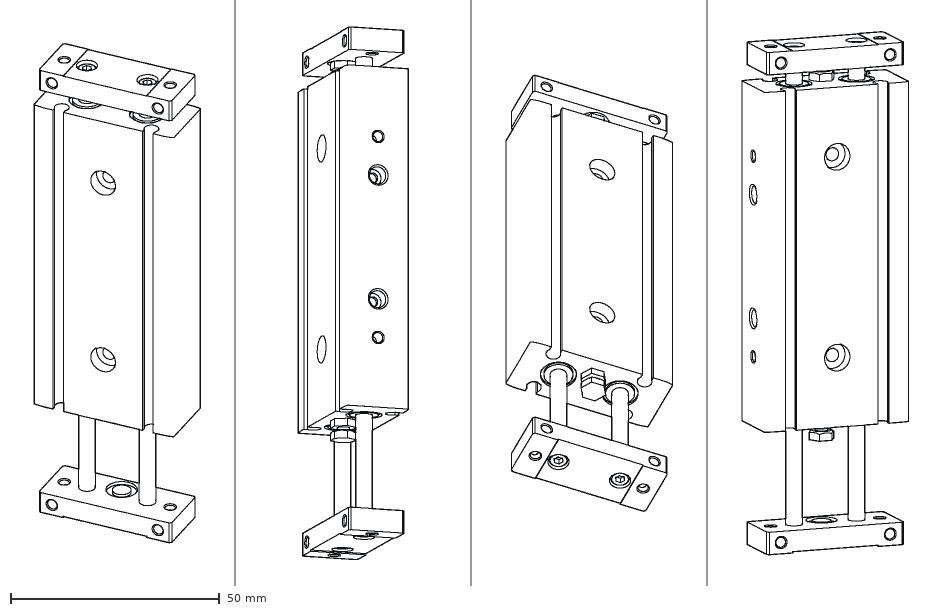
import cadquery as cq
import math

overall_length = 122.6

housing_width = 37.0
housing_depth = 16.0
housing_length = 83.0
housing_bottom = 30.1
housing_top = housing_bottom + housing_length
housing_corner_radius = 0.3

crown_start = 15.3
crown_radius = 14.0

groove_offset = 11.85
groove_mouth = 2.8
groove_diameter = 3.5
groove_center_depth = 2.0

mount_inset = 17.0
mount_hole_diameter = 3.2
mount_counterbore_diameter = 6.5
mount_counterbore_depth = 3.3

tap_diameter = 2.46
tap_mouth_diameter = 3.0
side_tap_depth = 5.0

port_inset = 26.4
port_diameter = 4.13
port_mouth_diameter = 5.0
port_depth = 4.0
port_passage_diameter = 2.46
port_passage_depth = 5.0
drill_point_angle = 118.0

rod_diameter = 4.0
rod_spacing = 16.0
rod_end_inset = 0.8

rod_head_diameter = 4.5
rod_head_height = 2.2
rod_head_chamfer = 0.25
socket_across_flats = 2.0
socket_depth = 1.5

ring_groove_diameter = 8.6
gland_diameter = 7.0
ring_groove_depth = 0.6

plate_width = 35.0
plate_depth = 14.0
plate_thickness = 5.5
plate_edge_chamfer = 0.5
relief_width = 22.0
upper_relief_depth = 0.1
lower_relief_depth = 0.3
plate_hole_spacing = 28.0
plate_cross_hole_height = 2.8
rod_counterbore_diameter = 5.0

adjuster_y = 2.5
hex_across_flats = 5.5
hex_chamfer_diameter = 4.57
chamfer_angle = 30.0
stud_diameter = 3.0
stud_depth = 8.0
plain_hex_height = 1.8
chamfered_hex_height = 2.2
upper_hex_gap = 0.3
lower_hex_gap = 0.8
recess_diameter = 7.5
recess_depth = 0.8
bumper_diameter = 4.5
bumper_height = 0.7

rod_counterbore_depth = rod_end_inset + rod_head_height
rod_positions = [(-rod_spacing / 2, 0), (rod_spacing / 2, 0)]
plate_hole_positions = [(-plate_hole_spacing / 2, 0), (plate_hole_spacing / 2, 0)]
mount_heights = [housing_bottom + mount_inset, housing_top - mount_inset]
port_heights = [housing_bottom + port_inset, housing_top - port_inset]


def cylinder(diameter, start, direction, length):
    return cq.Workplane(cq.Solid.makeCylinder(diameter / 2, length, cq.Vector(*start), cq.Vector(*direction)))


def countersink(mouth_diameter, bore_diameter, start, direction):
    """45 degree cone that opens a bore out to its mouth diameter at the start point."""
    depth = (mouth_diameter - bore_diameter) / 2
    cone = cq.Solid.makeCone(
        mouth_diameter / 2, bore_diameter / 2, depth, cq.Vector(*start), cq.Vector(*direction)
    )
    return cq.Workplane(cone)


def tapped_hole(start, direction, length):
    bore = cylinder(tap_diameter, start, direction, length)
    return bore.union(countersink(tap_mouth_diameter, tap_diameter, start, direction))


def housing_blank():
    """Extruded profile whose front and back faces curve back towards the corners."""
    half_width = housing_width / 2
    half_depth = housing_depth / 2

    def crown_drop(distance):
        return crown_radius - math.sqrt(crown_radius**2 - distance**2)

    crown_width = half_width - crown_start
    corner_y = half_depth - crown_drop(crown_width)
    middle_x = crown_start + crown_width / 2
    middle_y = half_depth - crown_drop(crown_width / 2)
    blank = (
        cq.Workplane("XY", origin=(0, 0, housing_bottom))
        .moveTo(-crown_start, -half_depth)
        .lineTo(crown_start, -half_depth)
        .threePointArc((middle_x, -middle_y), (half_width, -corner_y))
        .lineTo(half_width, corner_y)
        .threePointArc((middle_x, middle_y), (crown_start, half_depth))
        .lineTo(-crown_start, half_depth)
        .threePointArc((-middle_x, middle_y), (-half_width, corner_y))
        .lineTo(-half_width, -corner_y)
        .threePointArc((-middle_x, -middle_y), (-crown_start, -half_depth))
        .close()
        .extrude(housing_length)
    )
    corners = cq.selectors.BoxSelector(
        (-half_width - 1, -half_depth, housing_bottom), (1 - half_width, half_depth, housing_top)
    ) + cq.selectors.BoxSelector(
        (half_width - 1, -half_depth, housing_bottom), (half_width + 1, half_depth, housing_top)
    )
    return blank.edges("|Z").edges(corners).fillet(housing_corner_radius)


def sensor_groove(x, side):
    """Round groove with a narrower straight mouth, on the face at side * Y."""
    face_y = side * housing_depth / 2
    center_y = face_y - side * groove_center_depth
    channel = cylinder(groove_diameter, (x, center_y, housing_bottom), (0, 0, 1), housing_length)
    mouth = (
        cq.Workplane("XY", origin=(x, (face_y + center_y) / 2, housing_bottom))
        .rect(groove_mouth, groove_center_depth)
        .extrude(housing_length)
    )
    return channel.union(mouth)


def mounting_hole(z):
    front = -housing_depth / 2
    hole = cylinder(mount_hole_diameter, (0, front, z), (0, 1, 0), housing_depth)
    for side in (-1, 1):
        start = (0, side * housing_depth / 2, z)
        hole = hole.union(
            cylinder(mount_counterbore_diameter, start, (0, -side, 0), mount_counterbore_depth)
        )
    return hole


def air_port(z):
    start = (-housing_width / 2, 0, z)
    inward = (1, 0, 0)
    port = cylinder(port_diameter, start, inward, port_depth)
    port = port.union(countersink(port_mouth_diameter, port_diameter, start, inward))
    port = port.union(cylinder(port_passage_diameter, start, inward, port_passage_depth))
    tip_start = cq.Vector(start[0] + port_passage_depth, 0, z)
    tip_height = port_passage_diameter / 2 / math.tan(math.radians(drill_point_angle / 2))
    tip = cq.Solid.makeCone(port_passage_diameter / 2, 0, tip_height, tip_start, cq.Vector(*inward))
    return port.union(cq.Workplane(tip))


def make_housing():
    housing = housing_blank()
    for x in (-groove_offset, groove_offset):
        for side in (-1, 1):
            housing = housing.cut(sensor_groove(x, side))
    for z in mount_heights:
        housing = housing.cut(mounting_hole(z))
        housing = housing.cut(tapped_hole((-housing_width / 2, 0, z), (1, 0, 0), side_tap_depth))
    for z in port_heights:
        housing = housing.cut(air_port(z))
    for x, y in rod_positions:
        housing = housing.cut(cylinder(rod_diameter, (x, y, housing_bottom), (0, 0, 1), housing_length))
        for z, inward in ((housing_bottom, 1), (housing_top, -1)):
            ring = cylinder(ring_groove_diameter, (x, y, z), (0, 0, inward), ring_groove_depth)
            gland = cylinder(gland_diameter, (x, y, z), (0, 0, inward), ring_groove_depth)
            housing = housing.cut(ring.cut(gland))
    lower_stud = cylinder(stud_diameter, (0, adjuster_y, housing_bottom), (0, 0, 1), stud_depth)
    upper_stud = cylinder(stud_diameter, (0, adjuster_y, housing_top), (0, 0, -1), stud_depth)
    return housing.cut(lower_stud).cut(upper_stud)


def make_plate(relief_depth):
    """Upper end plate, its outer face at the overall length and its recess facing the housing."""
    inner_z = overall_length - plate_thickness
    plate = (
        cq.Workplane("XY", origin=(0, 0, inner_z))
        .rect(plate_width, plate_depth)
        .extrude(plate_thickness)
        .edges("|Z")
        .chamfer(plate_edge_chamfer)
    )
    relief = (
        cq.Workplane("XY", origin=(0, 0, overall_length - relief_depth))
        .rect(relief_width, plate_depth)
        .extrude(relief_depth)
    )
    plate = plate.cut(relief)
    plate = plate.cut(cylinder(recess_diameter, (0, adjuster_y, inner_z), (0, 0, 1), recess_depth))

    for x, y in rod_positions:
        plate = plate.cut(cylinder(rod_diameter, (x, y, inner_z), (0, 0, 1), plate_thickness))
        plate = plate.cut(
            cylinder(rod_counterbore_diameter, (x, y, overall_length), (0, 0, -1), rod_counterbore_depth)
        )

    cross_z = overall_length - plate_cross_hole_height
    for x, y in plate_hole_positions:
        for z, direction in ((inner_z, 1), (overall_length, -1)):
            plate = plate.cut(tapped_hole((x, y, z), (0, 0, direction), plate_thickness))
        for side in (-1, 1):
            plate = plate.cut(tapped_hole((x, side * plate_depth / 2, cross_z), (0, -side, 0), plate_depth))
    return plate


def flip_end_for_end(body):
    """Mirror a body of the upper end to the lower end."""
    return body.mirror("XY", (0, 0, overall_length / 2))


def make_rod(x, y):
    bottom = rod_end_inset
    top = overall_length - rod_end_inset
    rod = cylinder(rod_diameter, (x, y, bottom), (0, 0, 1), top - bottom)
    socket_diameter = socket_across_flats / math.cos(math.radians(30))
    for end_z, inward in ((bottom, 1), (top, -1)):
        head = cylinder(rod_head_diameter, (x, y, end_z), (0, 0, inward), rod_head_height)
        outer_face = "<Z" if inward > 0 else ">Z"
        rod = rod.union(head.faces(outer_face).edges().chamfer(rod_head_chamfer))
        socket = cq.Workplane("XY", origin=(x, y, end_z)).polygon(6, socket_diameter)
        rod = rod.cut(socket.extrude(inward * socket_depth))
    return rod


def plain_hex(bottom_z):
    across_corners = hex_across_flats / math.cos(math.radians(30))
    return (
        cq.Workplane("XY", origin=(0, adjuster_y, bottom_z))
        .polygon(6, across_corners)
        .extrude(plain_hex_height)
    )


def chamfered_hex(bottom_z):
    """Hexagon whose upper corners are turned down to a cone."""
    across_corners = hex_across_flats / math.cos(math.radians(30))
    chamfer_height = (across_corners - hex_chamfer_diameter) / 2 * math.tan(math.radians(chamfer_angle))
    prism = (
        cq.Workplane("XY", origin=(0, adjuster_y, bottom_z))
        .polygon(6, across_corners)
        .extrude(chamfered_hex_height)
    )
    turned = (
        cq.Workplane("XZ", origin=(0, adjuster_y, bottom_z))
        .lineTo(across_corners / 2, 0)
        .lineTo(across_corners / 2, chamfered_hex_height - chamfer_height)
        .lineTo(hex_chamfer_diameter / 2, chamfered_hex_height)
        .lineTo(0, chamfered_hex_height)
        .close()
        .revolve(360, (0, 0, 0), (0, 1, 0))
    )
    return prism.intersect(turned)


def make_upper_adjuster():
    nut = chamfered_hex(housing_top)
    head_z = housing_top + chamfered_hex_height + upper_hex_gap
    stud_bottom = housing_top - stud_depth
    stud = cylinder(stud_diameter, (0, adjuster_y, stud_bottom), (0, 0, 1), head_z - stud_bottom)
    return nut.union(stud).union(plain_hex(head_z))


def make_lower_adjuster():
    nut = plain_hex(housing_bottom - plain_hex_height)
    head_top = housing_bottom - plain_hex_height - lower_hex_gap
    stud_length = housing_bottom + stud_depth - head_top
    stud = cylinder(stud_diameter, (0, adjuster_y, head_top), (0, 0, 1), stud_length)
    return nut.union(stud).union(chamfered_hex(head_top - chamfered_hex_height))


def make_bumper():
    """Pad standing in the recess of the lower plate."""
    floor_z = plate_thickness - recess_depth
    return cylinder(bumper_diameter, (0, adjuster_y, floor_z), (0, 0, 1), bumper_height)


housing = make_housing()
upper_plate = make_plate(upper_relief_depth)
lower_plate = flip_end_for_end(make_plate(lower_relief_depth))
rods = [make_rod(x, y) for x, y in rod_positions]
upper_adjuster = make_upper_adjuster()
lower_adjuster = make_lower_adjuster()
bumper = make_bumper()

result = cq.Compound.makeCompound(
    [
        housing.val(),
        upper_plate.val(),
        lower_plate.val(),
        *[rod.val() for rod in rods],
        upper_adjuster.val(),
        lower_adjuster.val(),
        bumper.val(),
    ]
)